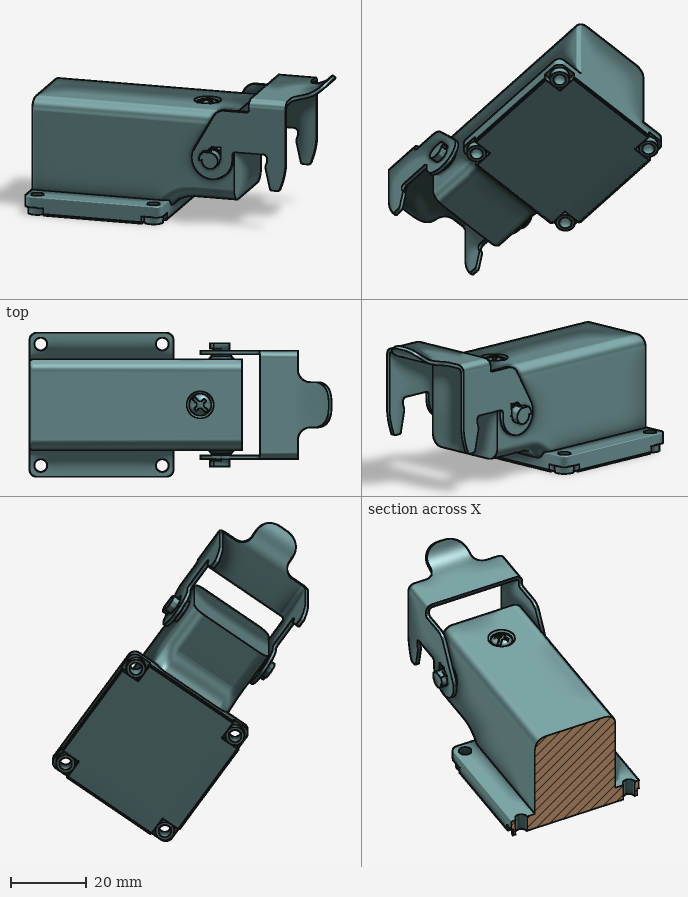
import cadquery as cq
import math

flange_size = 38.0
flange_top = 5.0
flange_bottom = 0.5
flange_corner_radius = 2.0
flange_edge_radius = 0.25
flange_center_x = flange_size / 2
mount_hole_pitch = 32.0
mount_hole_diameter = 3.3
foot_radius = 2.5
notch_size = 5.5
notch_top = 2.1
gasket_inset = 0.4

body_length = 56.0
body_width = 24.0
body_top = 30.0
body_overhang_bottom = 6.0
body_side_radius = 3.3
body_front_radius = 1.0
throat_radius = 8.0
throat_end_x = 44.2
select_margin = 0.1

screw_x = 45.0
screw_recess_radius = 3.55
screw_head_radius = 2.9
screw_recess_depth = 0.85
screw_taper_depth = 0.5
screw_embed = 0.5
screw_crown = 0.4
slot_length = 5.2
cross_arm_length = 3.7
drive_width = 0.85
drive_centre_radius = 0.95
drive_depth = 0.9
drive_turn = -45.0

pivot_x = 50.55
pivot_z = 18.05
pin_radius = 2.2
pin_lobe_radius = 3.0
pin_head_inner_y = 14.7
pin_outer_y = 16.27
pin_base_radius = 3.3
pin_cone_length = 0.85
pin_collar_radius = 2.6

sheet = 1.0
lever_width = 28.6
lever_top = 34.9
lever_bend_radius = 2.0
bridge_front_x = 60.7
shoulder_z = 31.45
shoulder_radius = 3.5
bridge_fillet = 0.8
eye_radius = 5.55
eye_slope = 60.0
window_z = 20.4
window_corner_radius = 1.0
window_back_x = 65.7
key_width = 2.4
key_height = 3.3

hook_neck_z = 18.6
hook_nose_x = 65.2
hook_nose_z = 17.0
hook_tip_z = 10.7
hook_tip_front_x = 66.6
hook_tip_back_x = 69.0
hook_back_z = 17.5
hook_back_mid_x = 70.2
hook_back_mid_z = 14.2
hook_tip_radius = 0.7
hook_nose_radius = 0.6

tab_radius = 10.0
tab_tip_x = 79.6
tab_tip_z = 38.95
tab_end_angle = math.acos(1 - (tab_tip_z - lever_top) / tab_radius)
lever_back_x = tab_tip_x - (tab_radius + sheet) * math.sin(tab_end_angle)
tab_width = 12.0
tab_corner_radius = 5.0
tab_root_radius = 3.2


def block(x0, x1, y0, y1, z0, z1):
    """Box between two opposite corners."""
    return cq.Workplane("XY").box(x1 - x0, y1 - y0, z1 - z0, centered=False).translate((x0, y0, z0))


def plate_xz(outline, y0, y1):
    """Extrude an XZ outline between two Y stations."""
    return outline.extrude(y0 - y1).translate((0, y0, 0))


def xz():
    """Fresh workplane for XZ outlines."""
    return cq.Workplane("XZ")


def mount_points():
    """Centres of the four mounting holes."""
    half = mount_hole_pitch / 2
    return [(flange_center_x + sx * half, sy * half) for sx in (-1, 1) for sy in (-1, 1)]


def make_flange():
    """Square flange over a thin gasket, with a round foot in a notch at each corner."""
    flange = (
        cq.Workplane("XY", origin=(flange_center_x, 0, flange_bottom))
        .rect(flange_size, flange_size)
        .extrude(flange_top - flange_bottom)
        .edges("|Z").fillet(flange_corner_radius)
        .faces(">Z").edges("not <X").fillet(flange_edge_radius)
    )
    gasket_size = flange_size - 2 * gasket_inset
    gasket = (
        cq.Workplane("XY", origin=(flange_center_x, 0, 0))
        .rect(gasket_size, gasket_size)
        .extrude(flange_bottom)
    )
    flange = flange.union(gasket)
    half = flange_size / 2
    for sx in (-1, 1):
        for sy in (-1, 1):
            offset = half - notch_size / 2
            notch = (
                cq.Workplane("XY", origin=(flange_center_x + sx * offset, sy * offset, 0))
                .rect(notch_size, notch_size)
                .extrude(notch_top)
            )
            flange = flange.cut(notch)
    feet = cq.Workplane("XY").pushPoints(mount_points()).circle(foot_radius).extrude(notch_top)
    return flange.union(feet)


def make_body():
    """Hood standing on the flange, overhanging it to the rear above a curved throat."""
    half = body_width / 2
    throat_center_z = body_overhang_bottom - throat_radius
    start_depth = flange_bottom - throat_center_z
    throat_start_x = throat_end_x - math.sqrt(throat_radius**2 - start_depth**2)
    mid_angle = (math.pi / 2 + math.atan2(start_depth, throat_start_x - throat_end_x)) / 2
    arc_mid = (
        throat_end_x + throat_radius * math.cos(mid_angle),
        throat_center_z + throat_radius * math.sin(mid_angle),
    )
    upper = block(0, body_length, -half, half, flange_bottom, body_top)
    below = (
        xz().moveTo(throat_start_x, flange_bottom)
        .threePointArc(arc_mid, (throat_end_x, body_overhang_bottom))
        .lineTo(body_length, body_overhang_bottom)
        .lineTo(body_length, flange_bottom)
        .close()
    )
    body = upper.cut(plate_xz(below, -half, half))
    overhang = cq.selectors.BoxSelector(
        (throat_start_x, -body_width, flange_bottom),
        (body_length, body_width, body_overhang_bottom + select_margin),
    )
    body = body.edges(overhang).edges("not |Y").fillet(body_side_radius)
    body = body.edges("|X and >Z").fillet(body_side_radius)
    return body.faces("<X").edges("not <Z").fillet(body_front_radius)


def make_screw_recess():
    """Tapered seat around the screw head, straight below the taper."""
    outline = (
        xz().moveTo(0, body_top - screw_recess_depth)
        .lineTo(screw_head_radius, body_top - screw_recess_depth)
        .lineTo(screw_head_radius, body_top - screw_taper_depth)
        .lineTo(screw_recess_radius, body_top).lineTo(0, body_top).close()
    )
    return outline.revolve(360, (0, 0, 0), (0, 1, 0)).translate((screw_x, 0, 0))


def make_screw():
    """Domed screw head with a long slot, a shorter cross arm and a round centre."""
    rim = body_top - screw_recess_depth
    crown = body_top + screw_crown
    rise = crown - rim
    sphere = (screw_head_radius**2 + rise**2) / (2 * rise)
    half_angle = math.asin(screw_head_radius / sphere) / 2
    mid = (sphere * math.sin(half_angle), crown - sphere * (1 - math.cos(half_angle)))
    outline = (
        xz().moveTo(0, rim - screw_embed).lineTo(screw_head_radius, rim - screw_embed)
        .lineTo(screw_head_radius, rim)
        .threePointArc(mid, (0, crown)).close()
    )
    screw = outline.revolve(360, (0, 0, 0), (0, 1, 0))
    drive = cq.Workplane("XY", origin=(0, 0, crown - drive_depth))
    slot = drive.rect(slot_length, drive_width).extrude(drive_depth)
    cross_arm = drive.rect(drive_width, cross_arm_length).extrude(drive_depth)
    centre = drive.circle(drive_centre_radius).extrude(drive_depth)
    recess = slot.union(cross_arm).union(centre).rotate((0, 0, 0), (0, 0, 1), drive_turn)
    return screw.cut(recess).translate((screw_x, 0, 0))


def make_pin():
    """Pivot pin on the +Y side, its head widened by a flat-topped lobe toward -X."""
    wall = body_width / 2
    collar_end = lever_width / 2 - sheet
    pin = (
        cq.Workplane("XY")
        .moveTo(0, wall - sheet).lineTo(pin_base_radius, wall - sheet).lineTo(pin_base_radius, wall)
        .lineTo(pin_collar_radius, wall + pin_cone_length).lineTo(pin_collar_radius, collar_end)
        .lineTo(pin_radius, collar_end).lineTo(pin_radius, pin_outer_y)
        .lineTo(0, pin_outer_y).close()
        .revolve(360, (0, 0, 0), (0, 1, 0))
    )
    head_y = (pin_head_inner_y, pin_outer_y)
    lobe = plate_xz(xz().circle(pin_lobe_radius), *head_y)
    lobe = lobe.intersect(block(-pin_lobe_radius, 0, *head_y, 0, pin_radius))
    return pin.union(lobe).translate((pivot_x, 0, pivot_z))


def make_lever_profile():
    """Lever side profile with its hooks, extruded across the full width."""
    slope = math.radians(eye_slope)
    eye_start = (pivot_x - eye_radius * math.sin(slope), pivot_z + eye_radius * math.cos(slope))
    shoulder_x = eye_start[0] + (shoulder_z - eye_start[1]) / math.tan(slope)
    eye_end = (pivot_x + eye_radius, pivot_z)
    half = lever_width / 2
    outline = (
        xz().moveTo(*eye_end)
        .threePointArc((pivot_x, pivot_z - eye_radius), (pivot_x - eye_radius, pivot_z))
        .radiusArc(eye_start, eye_radius)
        .lineTo(shoulder_x, shoulder_z)
        .lineTo(bridge_front_x, shoulder_z)
        .lineTo(bridge_front_x, lever_top)
        .lineTo(lever_back_x, lever_top)
        .lineTo(lever_back_x, hook_back_z)
        .threePointArc((hook_back_mid_x, hook_back_mid_z), (hook_tip_back_x, hook_tip_z))
        .lineTo(hook_tip_front_x, hook_tip_z)
        .lineTo(hook_nose_x, hook_nose_z)
        .lineTo(window_back_x, hook_neck_z)
        .lineTo(window_back_x, window_z)
        .lineTo(eye_end[0], window_z)
        .close()
    )
    profile = plate_xz(outline, -half, half)
    rounded_corners = [
        (shoulder_x, shoulder_z, shoulder_radius),
        (bridge_front_x, shoulder_z, bridge_fillet),
        (eye_end[0], window_z, window_corner_radius),
        (window_back_x, window_z, window_corner_radius),
        (hook_nose_x, hook_nose_z, hook_nose_radius),
        (hook_tip_front_x, hook_tip_z, hook_tip_radius),
        (hook_tip_back_x, hook_tip_z, hook_tip_radius),
    ]
    for x, z, radius in rounded_corners:
        profile = profile.edges(cq.selectors.NearestToPointSelector((x, 0, z))).fillet(radius)
    return profile


def make_thumb_tab():
    """Curved tab rising from the rear edge of the bridge, rounded square to its tip."""
    outer = tab_radius + sheet
    half = tab_width / 2
    root_half = half + tab_root_radius
    center_z = lever_top + tab_radius
    end = tab_end_angle

    def at(radius, angle):
        return (lever_back_x + radius * math.sin(angle), center_z - radius * math.cos(angle))

    outline = (
        xz().moveTo(*at(tab_radius, 0))
        .threePointArc(at(tab_radius, end / 2), at(tab_radius, end))
        .lineTo(*at(outer, end))
        .threePointArc(at(outer, end / 2), at(outer, 0))
        .close()
    )
    tab = plate_xz(outline, -root_half, root_half)

    plan = (
        cq.Workplane("XY").moveTo(lever_back_x, -root_half)
        .radiusArc((lever_back_x + tab_root_radius, -half), tab_root_radius)
        .lineTo(lever_back_x + outer, -half)
        .lineTo(lever_back_x + outer, half)
        .lineTo(lever_back_x + tab_root_radius, half)
        .radiusArc((lever_back_x, root_half), tab_root_radius)
        .close()
        .extrude(center_z)
    )
    tab = tab.intersect(plan)
    tip_x, tip_z = at(tab_radius, end)
    tip_plane = cq.Plane(
        origin=(tip_x, 0, tip_z),
        xDir=(math.cos(end), 0, math.sin(end)),
        normal=(-math.sin(end), 0, math.cos(end)),
    )
    span = 2 * tab_radius
    rounding = (
        cq.Workplane(tip_plane).center(-span / 2, 0).rect(span, tab_width + 2 * tab_root_radius)
        .extrude(span, both=True)
    )
    for side in (-1, 1):
        corner = (
            cq.Workplane(tip_plane)
            .moveTo(0, side * (half - tab_corner_radius))
            .radiusArc((-tab_corner_radius, side * half), -side * tab_corner_radius)
            .lineTo(-tab_corner_radius, side * (half + tab_root_radius))
            .lineTo(0, side * (half + tab_root_radius))
            .close()
            .extrude(span, both=True)
        )
        rounding = rounding.cut(corner)
    return tab.intersect(rounding)


def make_key_hole():
    """Keyed opening above the pin in both lever cheeks."""
    half = lever_width / 2
    outline = (
        xz().moveTo(0, 0).lineTo(key_width, 0).lineTo(key_width, key_height)
        .lineTo(0, key_height).lineTo(-key_height / 2, key_height / 2).close()
    )
    return plate_xz(outline, -half, half).translate((pivot_x, 0, pivot_z))


def make_lever():
    """Lever bent from one sheet: two cheeks, a bridge across them and a thumb tab."""
    half = lever_width / 2
    base = 0.0
    ends = (pivot_x - eye_radius, lever_back_x)
    outside = block(*ends, -half, half, base, lever_top).edges("|X and >Z").fillet(lever_bend_radius)
    inner_half = half - sheet
    inside = block(*ends, -inner_half, inner_half, base, lever_top - sheet)
    inside = inside.edges("|X and >Z").fillet(lever_bend_radius - sheet)
    channel = outside.cut(inside)
    return make_lever_profile().intersect(channel).cut(make_key_hole()).union(make_thumb_tab())


def make_part():
    part = make_flange().union(make_body())
    holes = (
        cq.Workplane("XY").pushPoints(mount_points())
        .circle(mount_hole_diameter / 2).extrude(flange_top)
    )
    part = part.cut(holes).cut(make_screw_recess()).union(make_screw())
    part = part.union(make_lever())
    pin = make_pin()
    return part.union(pin).union(pin.mirror("XZ"))


result = make_part()